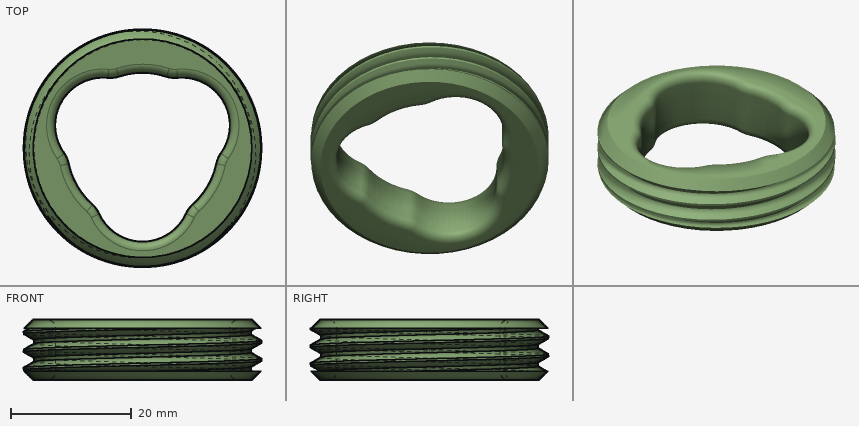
import cadquery as cq
import math

HEIGHT = 10.11
RIM_RADIUS = 19.65
RIM_CHAMFER = 1.5

THREAD_MAJOR_RADIUS = 39.56 / 2
THREAD_MINOR_RADIUS = 36.13 / 2
THREAD_PITCH = 3.0
THREAD_FLANK_ANGLE = 30.0
CREST_WIDTH = THREAD_PITCH / 8
CREST_HEIGHT_AT_X = 0.38
ROOT_OVERLAP = 0.2

LOBE_COUNT = 3
FIRST_LOBE_ANGLE = 30.0
HUB_RADIUS = 12.5
LOBE_OFFSET = 7.6
LOBE_RADIUS = 7.9
BLEND_RADIUS = 4.5
OPENING_FILLET = 1.5

TOOL_CLEARANCE = 0.5


def polar(radius, angle):
    """X, Y of a point at a radius and an angle in degrees."""
    return (radius * math.cos(math.radians(angle)), radius * math.sin(math.radians(angle)))


def make_core():
    """Threaded core with a bevelled flange at each end, as one turned solid."""
    face_radius = RIM_RADIUS - RIM_CHAMFER
    profile = [
        (0, 0),
        (face_radius, 0),
        (RIM_RADIUS, RIM_CHAMFER),
        (THREAD_MINOR_RADIUS, RIM_CHAMFER),
        (THREAD_MINOR_RADIUS, HEIGHT - RIM_CHAMFER),
        (RIM_RADIUS, HEIGHT - RIM_CHAMFER),
        (face_radius, HEIGHT),
        (0, HEIGHT),
    ]
    return cq.Workplane("XZ").polyline(profile).close().revolve(360, (0, 0), (0, 1))


def make_thread():
    """Helical ridge, trimmed flat against the inner faces of the two flanges."""
    base_radius = THREAD_MINOR_RADIUS - ROOT_OVERLAP
    ridge_depth = THREAD_MAJOR_RADIUS - base_radius
    half_crest = CREST_WIDTH / 2
    half_base = half_crest + ridge_depth * math.tan(math.radians(THREAD_FLANK_ANGLE))

    start = CREST_HEIGHT_AT_X - THREAD_PITCH
    turns = math.ceil((HEIGHT - start) / THREAD_PITCH)
    path = cq.Wire.makeHelix(THREAD_PITCH, turns * THREAD_PITCH, base_radius).translate(
        cq.Vector(0, 0, start)
    )
    ridge = (
        cq.Workplane("XZ")
        .polyline(
            [
                (base_radius, start - half_base),
                (THREAD_MAJOR_RADIUS, start - half_crest),
                (THREAD_MAJOR_RADIUS, start + half_crest),
                (base_radius, start + half_base),
            ]
        )
        .close()
        .sweep(cq.Workplane(path), isFrenet=True)
    )
    gap = (
        cq.Workplane("XY")
        .workplane(offset=RIM_CHAMFER)
        .circle(THREAD_MAJOR_RADIUS + TOOL_CLEARANCE)
        .extrude(HEIGHT - 2 * RIM_CHAMFER)
    )
    return ridge.intersect(gap)


def make_opening():
    """Prism of the three-lobed opening; every arc meets the next one tangentially."""
    hub_to_blend = HUB_RADIUS + BLEND_RADIUS
    lobe_to_blend = LOBE_RADIUS + BLEND_RADIUS
    blend_angle = math.degrees(
        math.acos(
            (hub_to_blend**2 + LOBE_OFFSET**2 - lobe_to_blend**2)
            / (2 * hub_to_blend * LOBE_OFFSET)
        )
    )
    spacing = 360 / LOBE_COUNT

    def lobe_side_points(lobe_angle, side):
        """Lobe end, middle and hub end of the blend arc on one side of a lobe."""
        lobe_x, lobe_y = polar(LOBE_OFFSET, lobe_angle)
        hub_direction = lobe_angle + side * blend_angle
        blend_x, blend_y = polar(hub_to_blend, hub_direction)
        lobe_end = (
            lobe_x + (blend_x - lobe_x) * LOBE_RADIUS / lobe_to_blend,
            lobe_y + (blend_y - lobe_y) * LOBE_RADIUS / lobe_to_blend,
        )
        hub_end = polar(HUB_RADIUS, hub_direction)
        chord_x = (lobe_end[0] + hub_end[0]) / 2 - blend_x
        chord_y = (lobe_end[1] + hub_end[1]) / 2 - blend_y
        stretch = BLEND_RADIUS / math.hypot(chord_x, chord_y)
        middle = (blend_x + chord_x * stretch, blend_y + chord_y * stretch)
        return lobe_end, middle, hub_end

    first_hub_end = lobe_side_points(FIRST_LOBE_ANGLE, -1)[2]
    outline = cq.Workplane("XY").moveTo(*first_hub_end)
    for index in range(LOBE_COUNT):
        lobe_angle = FIRST_LOBE_ANGLE + index * spacing
        lobe_start, entry_middle, _ = lobe_side_points(lobe_angle, -1)
        lobe_end, exit_middle, hub_start = lobe_side_points(lobe_angle, 1)
        next_hub_end = lobe_side_points(lobe_angle + spacing, -1)[2]
        outline = (
            outline.threePointArc(entry_middle, lobe_start)
            .threePointArc(polar(LOBE_OFFSET + LOBE_RADIUS, lobe_angle), lobe_end)
            .threePointArc(exit_middle, hub_start)
            .threePointArc(polar(HUB_RADIUS, lobe_angle + spacing / 2), next_hub_end)
        )
    return outline.close().extrude(HEIGHT)


def cut_opening(body):
    """Cut the opening through the body and round its edges on both end faces."""
    box_reach = LOBE_OFFSET + LOBE_RADIUS + TOOL_CLEARANCE
    opening_edges = cq.selectors.BoxSelector(
        (-box_reach, -box_reach, -TOOL_CLEARANCE),
        (box_reach, box_reach, HEIGHT + TOOL_CLEARANCE),
        boundingbox=True,
    )
    pierced = body.cut(make_opening())
    return pierced.faces("<Z or >Z").edges(opening_edges).fillet(OPENING_FILLET)


result = cut_opening(make_core()).union(make_thread())